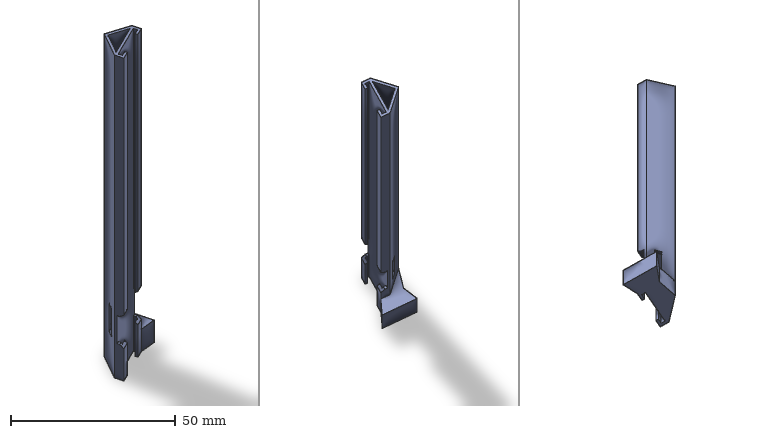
import cadquery as cq
import math

length = 150.0
foot_width = 12.0
total_depth = 18.0

wall = 0.9
rail_depth = 13.0
tip_x = 0.5
shoulder_x = 6.8
rail_right_x = 9.9
lip_reach = 2.5
floor_height = 15.5

foot_height = 10.4
waist_left_x = foot_width - rail_right_x

window_bottom = 16.4
window_height = 12.9
window_left_x = 3.5
window_width = 1.5
notch_chamfer = 1.4

mid_y = rail_depth / 2
web_right_x = shoulder_x + wall
lip_left_x = rail_right_x - wall


def rail_body():
    """Solid rail outline, including the open channel between the lips."""
    return (
        cq.Workplane("XY")
        .moveTo(tip_x, mid_y)
        .lineTo(shoulder_x, 0)
        .lineTo(rail_right_x, 0)
        .lineTo(rail_right_x, lip_reach)
        .lineTo(lip_left_x, lip_reach)
        .lineTo(lip_left_x, wall)
        .lineTo(web_right_x, wall)
        .lineTo(web_right_x, rail_depth - wall)
        .lineTo(lip_left_x, rail_depth - wall)
        .lineTo(lip_left_x, rail_depth - lip_reach)
        .lineTo(rail_right_x, rail_depth - lip_reach)
        .lineTo(rail_right_x, rail_depth)
        .lineTo(shoulder_x, rail_depth)
        .close()
        .extrude(length)
    )


def cavity():
    """Triangular cavity, open at the top and closed by a floor below."""
    slant_run = shoulder_x - tip_x
    slant_length = math.hypot(slant_run, mid_y)
    inner_tip_x = tip_x + wall * slant_length / mid_y
    half_depth = (shoulder_x - inner_tip_x) * mid_y / slant_run
    return (
        cq.Workplane("XY", origin=(0, 0, floor_height))
        .moveTo(inner_tip_x, mid_y)
        .lineTo(shoulder_x, mid_y - half_depth)
        .lineTo(shoulder_x, mid_y + half_depth)
        .close()
        .extrude(length - floor_height)
    )


def foot():
    """Dovetail flaring toward +Y, merged with the slanted back of the rail."""
    return (
        cq.Workplane("XY")
        .moveTo(0, total_depth)
        .lineTo(foot_width, total_depth)
        .lineTo(rail_right_x, rail_depth)
        .lineTo(shoulder_x, rail_depth)
        .lineTo(tip_x, mid_y)
        .lineTo(waist_left_x, rail_depth)
        .close()
        .extrude(foot_height)
    )


def window():
    """Slot running along Y through both slanted walls."""
    return cq.Workplane("XY").box(
        window_width, rail_depth, window_height, centered=False
    ).translate((window_left_x, 0, window_bottom))


def lip_notch():
    """Break in both lips down to the web, flaring open toward +X."""
    flare_x = rail_right_x - notch_chamfer
    top = window_bottom + window_height
    return (
        cq.Workplane("XZ")
        .moveTo(web_right_x, window_bottom)
        .lineTo(flare_x, window_bottom)
        .lineTo(rail_right_x, window_bottom - notch_chamfer)
        .lineTo(rail_right_x, top + notch_chamfer)
        .lineTo(flare_x, top)
        .lineTo(web_right_x, top)
        .close()
        .extrude(-rail_depth)
    )


result = rail_body().union(foot()).cut(cavity()).cut(window()).cut(lip_notch())